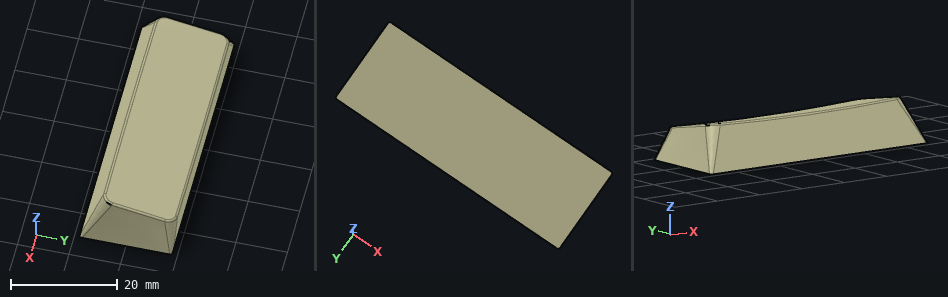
import cadquery as cq
import math

base_length = 51.44
base_width = 18.1
base_corner_radius = 0.5

top_length = 45.5
top_width = 14.4
top_corner_radius = 2.1
top_tilt = 11.0
top_center_y = 1.8
top_center_z = 7.47

dish_depth = 0.55
dish_radius = ((top_length / 2) ** 2 + dish_depth ** 2) / (2 * dish_depth)
dish_overrun = 10.0

rim_fillet = 0.45


def top_plane():
    """Plane of the top outline; its local Y runs toward the back and downhill."""
    tilt = math.radians(top_tilt)
    return cq.Plane(
        origin=(0, top_center_y, top_center_z),
        xDir=(1, 0, 0),
        normal=(0, math.sin(tilt), math.cos(tilt)),
    )


def rounded_outline(length, width, corner_radius):
    return cq.Sketch().rect(length, width).vertices().fillet(corner_radius)


def make_body():
    """Straight-sided skirt from the ground outline to the tilted top outline."""
    base = rounded_outline(base_length, base_width, base_corner_radius)
    top = rounded_outline(top_length, top_width, top_corner_radius)
    tilted_top = top.moved(top_plane().location)
    return cq.Workplane("XY").placeSketch(base, tilted_top).loft(ruled=True)


def make_dish_cutter():
    """Large cylinder along the slope, touching both short edges of the top."""
    top = top_plane()
    length = top_width + 2 * dish_overrun
    profile_plane = cq.Plane(
        origin=top.toWorldCoords((0, length / 2, 0)),
        xDir=(1, 0, 0),
        normal=-top.yDir,
    )
    center_height = dish_radius - dish_depth
    return cq.Workplane(profile_plane).center(0, center_height).circle(dish_radius).extrude(length)


def round_rim(body):
    """Round the edge between the dished top and the skirt."""
    return body.faces(">Z").edges().fillet(rim_fillet)


result = round_rim(make_body().cut(make_dish_cutter()))